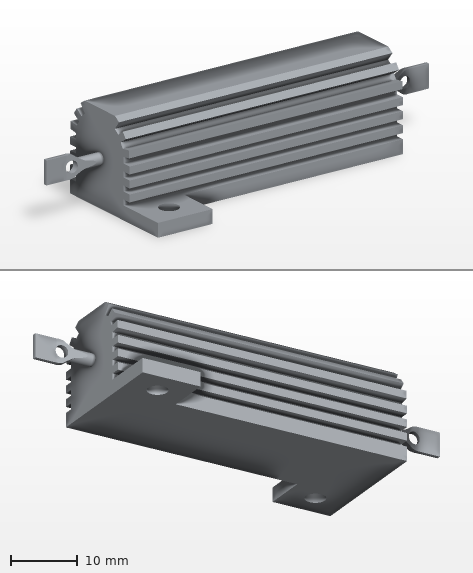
import cadquery as cq

total_length = 70.0
total_width = 30.0
total_height = 16.0
body_length = 50.05

base_height = 2.4
core_half = 6.15
fin_half = 7.7
fin_thickness = 1.25
fin_pitch = 2.25
first_fin_z = 3.35
straight_fins = 3

foot_length = 10.0
foot_hole_diameter = 3.3
foot_hole_x = 10.65
foot_hole_y = 19.9

lead_z = 8.0
lead_diameter = 2.0
flattening_start = 1.3
widening_start = 2.8
full_width_start = 5.8
flattening_end = 6.3
tab_width = 4.0
tab_thickness = 0.7
tab_hole_diameter = 2.0
tab_hole_distance = 5.45

lead_length = (total_length - body_length) / 2
lead_radius = lead_diameter / 2


def make_housing():
    """Extrude the symmetric finned section along Y."""
    side = [(fin_half, 0), (fin_half, base_height), (core_half, base_height)]
    for index in range(straight_fins):
        bottom = first_fin_z + index * fin_pitch
        top = bottom + fin_thickness
        side += [(core_half, bottom), (fin_half, bottom), (fin_half, top), (core_half, top)]
    side += [
        (core_half, 10.15), (7.55, 10.35), (7.55, 11.6), (5.9, 11.4),
        (5.4, 12.25), (6.7, 13.15), (5.95, 14.15), (4.75, 13.3),
        (3.85, 13.9), (5.0, 15.3), (3.9, total_height),
    ]
    mirrored = [(-x, z) for x, z in reversed(side)]
    section = cq.Workplane("XZ").polyline(side + mirrored).close()
    return section.extrude(body_length / 2, both=True)


def make_foot(side):
    """Make the foot on the +X (side = 1) or -X (side = -1) flank, at opposite housing ends."""
    width = total_width / 2 - core_half
    center_x = side * (core_half + width / 2)
    center_y = -side * (body_length - foot_length) / 2
    foot = cq.Workplane("XY").center(center_x, center_y).rect(width, foot_length).extrude(base_height)
    hole = (
        cq.Workplane("XY")
        .center(side * foot_hole_x, -side * foot_hole_y)
        .circle(foot_hole_diameter / 2)
        .extrude(base_height)
    )
    return foot.cut(hole)


def make_lead():
    """Make the lead at the +Y end, starting at the housing end face."""
    end_y = body_length / 2
    rod = (
        cq.Workplane("XZ", origin=(0, end_y, lead_z))
        .circle(lead_radius)
        .extrude(-full_width_start)
    )
    half_width = tab_width / 2
    outline = [
        (widening_start, 0.4), (4.05, 1.05), (5.2, 1.8), (full_width_start, half_width),
        (lead_length, half_width),
    ]
    mirrored = [(y, -z) for y, z in reversed(outline)]
    tab = (
        cq.Workplane("YZ", origin=(0, end_y, lead_z))
        .polyline(outline + mirrored)
        .close()
        .extrude(lead_radius, both=True)
    )
    taper = [
        (lead_radius, 0), (lead_radius, flattening_start),
        (tab_thickness / 2, flattening_end), (tab_thickness / 2, lead_length),
    ]
    taper_mirrored = [(-x, y) for x, y in reversed(taper)]
    envelope = (
        cq.Workplane("XY", origin=(0, end_y, lead_z))
        .polyline(taper + taper_mirrored)
        .close()
        .extrude(tab_width, both=True)
    )
    hole = (
        cq.Workplane("YZ", origin=(0, end_y + tab_hole_distance, lead_z))
        .circle(tab_hole_diameter / 2)
        .extrude(lead_diameter, both=True)
    )
    return rod.union(tab).intersect(envelope).cut(hole)


result = make_housing()
for flank in (-1, 1):
    result = result.union(make_foot(flank))

lead = make_lead()
result = result.union(lead).union(lead.mirror("XZ"))